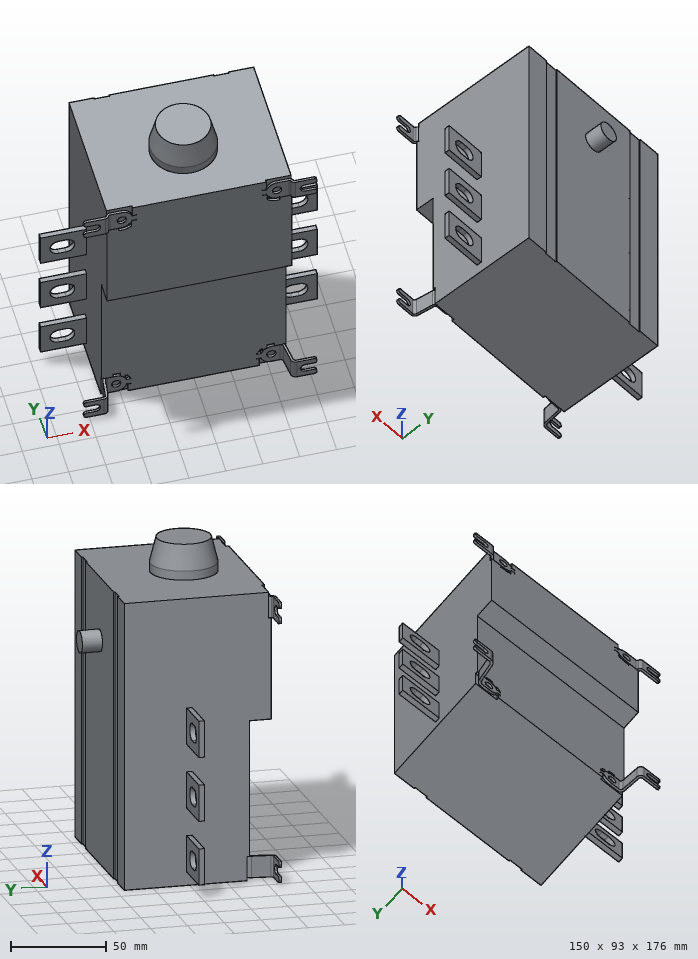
import cadquery as cq
import math

BODY_WIDTH = 100.1
BODY_DEPTH = 79.9
BODY_HEIGHT = 157.3
STEP_HEIGHT = 87.6
STEP_DEPTH = 11.8
GROOVE_INNER_X = 28.3
GROOVE_WIDTH = 8.1
GROOVE_DEPTH = 0.7

KNOB_Y = 34.1
KNOB_DIAMETER = 36.0
KNOB_TOP_DIAMETER = 29.2
KNOB_RIM_HEIGHT = 5.0
KNOB_HEIGHT = 18.7
BUTTON_RADIUS = 6.0
BUTTON_LENGTH = 11.0
BUTTON_Z = 122.5

TERMINAL_SPAN = 150.0
TERMINAL_HEIGHT = 19.9
TERMINAL_THICKNESS = 3.0
TERMINAL_Y = 44.5
TERMINAL_FIRST_Z = 17.5
TERMINAL_PITCH = 35.0
TERMINAL_COUNT = 3
TERMINAL_HOLE_X = 63.2
TERMINAL_HOLE_LENGTH = 13.4
TERMINAL_HOLE_HEIGHT = 9.3

SHEET = 1.4
FOOT_FRONT_Y = -2.1
FOOT_END_X = 63.2
BRACKET_WIDTH = 11.8
BRACKET_HALF_WIDTH = BRACKET_WIDTH / 2
FORK_HALF_WIDTH = 2.5
FORK_ROOT_X = 54.2
PRONG_ROUND = 1.5
SCREW_X = 42.0
SCREW_RADIUS = 2.5
UPPER_SCREW_DEPTH = 8.1
LOWER_SCREW_HEIGHT = 7.2
UPPER_LEG_X = (50.0, 49.1)
LOWER_LEG_X = (49.8, 48.0)
UPPER_BEND_RADIUS = 0.8
LOWER_BEND_RADIUS = 1.4

RECESS_RADIUS = 8.0
UPPER_CORNER_U = 5.8
LOWER_CORNER_U = 6.5
KEY_HALF_HEIGHT = 2.0
PLATE_GAP = 0.09
UPPER_WINDOWS = [((-1.5, 5.3), (4.4, RECESS_RADIUS))]
LOWER_WINDOWS = [
    ((-1.5, 2.3), (4.4, RECESS_RADIUS)),
    ((5.0, RECESS_RADIUS), (KEY_HALF_HEIGHT, 5.1)),
]


def block(x_range, y_range, z_range):
    """Box between two limits along each axis, given in either order."""
    lows = [min(limits) for limits in (x_range, y_range, z_range)]
    sizes = [abs(limits[1] - limits[0]) for limits in (x_range, y_range, z_range)]
    return cq.Workplane("XY").box(*sizes, centered=False).translate(tuple(lows))


def rod(radius, x, z, y_start, y_end):
    """Cylinder along Y."""
    return cq.Workplane("XZ", origin=(x, y_start, z)).circle(radius).extrude(y_start - y_end)


def both_sides(left):
    return left.union(left.mirror("YZ"))


def make_housing():
    side = BODY_WIDTH / 2
    housing = block((-side, side), (0, BODY_DEPTH), (0, BODY_HEIGHT))
    housing = housing.cut(block((-side, side), (0, STEP_DEPTH), (0, STEP_HEIGHT)))
    groove = block(
        (-GROOVE_INNER_X - GROOVE_WIDTH, -GROOVE_INNER_X),
        (BODY_DEPTH - GROOVE_DEPTH, BODY_DEPTH),
        (0, BODY_HEIGHT),
    )
    return housing.cut(both_sides(groove))


def make_knob():
    profile = [
        (0, 0),
        (KNOB_DIAMETER / 2, 0),
        (KNOB_DIAMETER / 2, KNOB_RIM_HEIGHT),
        (KNOB_TOP_DIAMETER / 2, KNOB_HEIGHT),
        (0, KNOB_HEIGHT),
    ]
    knob = cq.Workplane("XZ").polyline(profile).close().revolve(360, (0, 0, 0), (0, 1, 0))
    return knob.translate((0, KNOB_Y, BODY_HEIGHT))


def make_terminal(z):
    bar = cq.Workplane("XY").box(TERMINAL_SPAN, TERMINAL_THICKNESS, TERMINAL_HEIGHT)
    holes = (
        cq.Workplane("XZ")
        .pushPoints([(-TERMINAL_HOLE_X, 0), (TERMINAL_HOLE_X, 0)])
        .slot2D(TERMINAL_HOLE_LENGTH, TERMINAL_HOLE_HEIGHT)
        .extrude(TERMINAL_THICKNESS, both=True)
    )
    return bar.cut(holes).translate((0, TERMINAL_Y, z))


def make_bracket(face_y, screw_z, leg_x, bend_radius):
    """Left-hand bracket whose plate is flush with the housing face at face_y."""
    foot_corner = (-leg_x[0], FOOT_FRONT_Y)
    plate_corner = (-leg_x[1], face_y)
    plate_end = -SCREW_X + BRACKET_HALF_WIDTH
    bend_angle = math.atan2(plate_corner[1] - foot_corner[1], plate_corner[0] - foot_corner[0])
    miter = SHEET * math.tan(bend_angle / 2)
    foot_corner_back = (foot_corner[0] - miter, FOOT_FRONT_Y + SHEET)
    plate_corner_back = (plate_corner[0] - miter, face_y + SHEET)
    section = [
        (-FOOT_END_X, FOOT_FRONT_Y),
        foot_corner,
        plate_corner,
        (plate_end, face_y),
        (plate_end, face_y + SHEET),
        plate_corner_back,
        foot_corner_back,
        (-FOOT_END_X, FOOT_FRONT_Y + SHEET),
    ]
    strip = cq.Workplane("XY").polyline(section).close().extrude(BRACKET_HALF_WIDTH, both=True)
    outside_radius = bend_radius + SHEET
    for corner, radius in (
        (foot_corner, outside_radius),
        (foot_corner_back, bend_radius),
        (plate_corner, bend_radius),
        (plate_corner_back, outside_radius),
    ):
        strip = strip.edges(cq.NearestToPointSelector((*corner, 0))).fillet(radius)

    depth = (FOOT_FRONT_Y, face_y + SHEET)
    half_width = (-BRACKET_HALF_WIDTH, BRACKET_HALF_WIDTH)
    outline = block((-FOOT_END_X, -SCREW_X), depth, half_width)
    outline = outline.union(rod(BRACKET_HALF_WIDTH, -SCREW_X, 0, *depth))
    fork_centre_x = -FORK_ROOT_X - FORK_HALF_WIDTH
    fork = block((-FOOT_END_X, fork_centre_x), depth, (-FORK_HALF_WIDTH, FORK_HALF_WIDTH))
    fork = fork.union(rod(FORK_HALF_WIDTH, fork_centre_x, 0, *depth))
    outline = outline.cut(fork).faces("<X").edges("|Y").fillet(PRONG_ROUND)
    return strip.intersect(outline).translate((0, 0, screw_z))


def make_recess(face_y, screw_z, edge_distance, inward, corner_u, windows):
    """Left-hand recess for a plate; inward is the Z direction away from the housing edge."""
    depth = (face_y, face_y + SHEET)

    def patch(u_range, v_range):
        x_range = [u - SCREW_X for u in u_range]
        z_range = [screw_z + inward * v for v in v_range]
        return block(x_range, depth, z_range)

    side_u = SCREW_X - BODY_WIDTH / 2
    seat_half_width = BRACKET_HALF_WIDTH + PLATE_GAP
    recess = patch((side_u, 0), (-edge_distance, seat_half_width))
    recess = recess.union(patch((0, corner_u), (-edge_distance, -KEY_HALF_HEIGHT)))
    recess = recess.union(rod(seat_half_width, -SCREW_X, screw_z, *depth))

    ring = rod(RECESS_RADIUS, -SCREW_X, screw_z, *depth)
    for u_range, v_range in windows:
        recess = recess.union(patch(u_range, v_range).intersect(ring))

    key_u = (SCREW_RADIUS, RECESS_RADIUS)
    key_half_height = KEY_HALF_HEIGHT - PLATE_GAP
    recess = recess.union(patch(key_u, (-KEY_HALF_HEIGHT, KEY_HALF_HEIGHT)))
    return recess.cut(patch(key_u, (-key_half_height, key_half_height)))


def mount(body, face_y, screw_z, edge_distance, inward, corner_u, windows, leg_x, bend_radius):
    """Let a pair of brackets into the body, each with its blind screw hole."""
    recess = make_recess(face_y, screw_z, edge_distance, inward, corner_u, windows)
    bracket = make_bracket(face_y, screw_z, leg_x, bend_radius)
    screw_hole = rod(SCREW_RADIUS, -SCREW_X, screw_z, face_y, face_y + SHEET)
    body = body.cut(both_sides(recess))
    body = body.union(both_sides(bracket))
    return body.cut(both_sides(screw_hole))


result = make_housing().union(make_knob())
result = result.union(rod(BUTTON_RADIUS, 0, BUTTON_Z, BODY_DEPTH, BODY_DEPTH + BUTTON_LENGTH))
for row in range(TERMINAL_COUNT):
    result = result.union(make_terminal(TERMINAL_FIRST_Z + row * TERMINAL_PITCH))

result = mount(
    result,
    face_y=0,
    screw_z=BODY_HEIGHT - UPPER_SCREW_DEPTH,
    edge_distance=UPPER_SCREW_DEPTH,
    inward=-1,
    corner_u=UPPER_CORNER_U,
    windows=UPPER_WINDOWS,
    leg_x=UPPER_LEG_X,
    bend_radius=UPPER_BEND_RADIUS,
)
result = mount(
    result,
    face_y=STEP_DEPTH,
    screw_z=LOWER_SCREW_HEIGHT,
    edge_distance=LOWER_SCREW_HEIGHT,
    inward=1,
    corner_u=LOWER_CORNER_U,
    windows=LOWER_WINDOWS,
    leg_x=LOWER_LEG_X,
    bend_radius=LOWER_BEND_RADIUS,
)